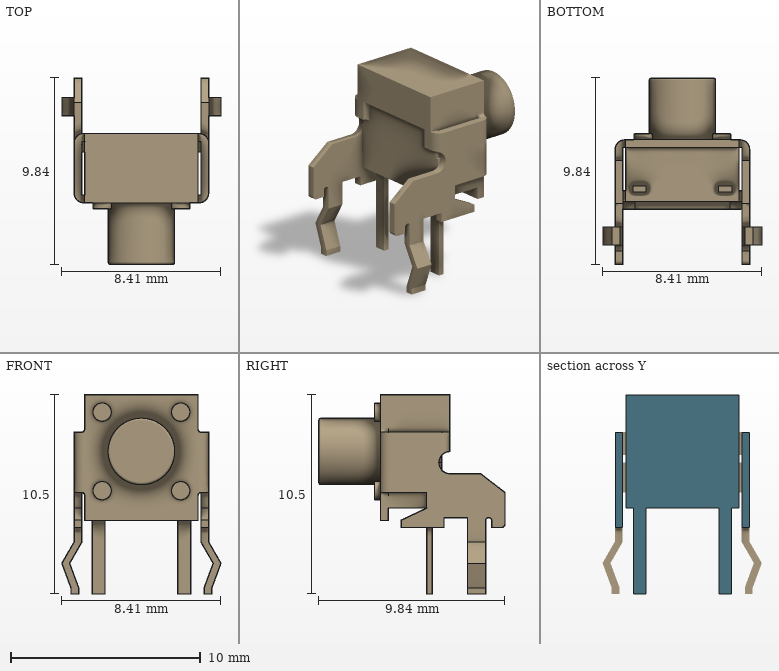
import cadquery as cq


height = 10.52
body_width = 6.0
body_depth = 3.67
cover_thickness = 0.42
cover_bottom = 3.87
block_bottom = 4.53

button_diameter = 3.51
button_length = 3.25
button_edge_radius = 0.13
axis_height = 7.52
rivet_diameter = 0.97
rivet_length = 0.32
rivet_edge_radius = 0.05
rivet_spacing = 4.15

pin_width = 0.69
pin_thickness = 0.3
pin_front = 2.44
pin_spacing = 4.51

sheet = cover_thickness
clip_outer = 3.56
clip_inner = clip_outer - sheet
bend_radius = 0.53
clip_top = 8.54
clip_bottom = 5.35
fold_back = 6.59
fold_reach = 0.63
root_fillet = 0.16
flange_front = body_depth - sheet

notch_radius = 0.58
notch_height = 6.93
arm_top = notch_height - notch_radius
arm_bottom = 4.02
foot_bottom = 3.5
shoulder_back = 5.29
hook_root_y = pin_front
hook_tip_y = 1.1
hook_tip_top = 3.9
foot_back = 3.37
leg_front = 4.6
leg_back = 5.57
slot_width = 0.3
slot_radius = 0.13
heel_radius = 0.2

leg_span = 8.41
leg_outer_elbow = leg_span / 2
leg_outer_tip = 3.72
leg_bend_height = 2.75
leg_elbow_height = 1.62
leg_tip_height = 0.33

ledge_front = 2.68


def box(x0, x1, y0, y1, z0, z1):
    return cq.Workplane("XY").box(x1 - x0, y1 - y0, z1 - z0, centered=False).translate((x0, y0, z0))


def make_housing():
    half = body_width / 2
    cover = box(-half, half, 0, cover_thickness, cover_bottom, height)
    block = box(-half, half, 0, flange_front, block_bottom, height)
    upper_back = box(-half, half, 0, body_depth, clip_top, height)
    ledges = box(-clip_inner, clip_inner, ledge_front, flange_front, clip_bottom, notch_height)
    return cover.union(block).union(upper_back).union(ledges)


def stud(diameter, length, edge_radius):
    """Round stud that stands on the front face and has a rounded rim."""
    return cq.Workplane("XZ").circle(diameter / 2).extrude(length).faces("<Y").edges().fillet(edge_radius)


def make_studs():
    studs = stud(button_diameter, button_length, button_edge_radius)
    rivet = stud(rivet_diameter, rivet_length, rivet_edge_radius)
    for x in (-rivet_spacing / 2, rivet_spacing / 2):
        for z in (-rivet_spacing / 2, rivet_spacing / 2):
            studs = studs.union(rivet.translate((x, 0, z)))
    return studs.translate((0, 0, axis_height))


def make_pin(x):
    return box(x - pin_width / 2, x + pin_width / 2, pin_front, pin_front + pin_thickness, 0, block_bottom)


def make_clip_wall():
    """Flat side wall with the rear arm, the hook and the stub of the leg."""
    slot_back = leg_back + slot_width
    bend_back = body_depth - bend_radius
    wall = (
        cq.Workplane("YZ", origin=(clip_inner, 0, 0))
        .moveTo(bend_radius, clip_top)
        .lineTo(bend_back, clip_top)
        .lineTo(bend_back, notch_height)
        .lineTo(body_depth, notch_height)
        .lineTo(body_depth, arm_top)
        .lineTo(shoulder_back, arm_top)
        .lineTo(fold_back, clip_bottom)
        .lineTo(fold_back, foot_bottom + heel_radius)
        .radiusArc((fold_back - heel_radius, foot_bottom), heel_radius)
        .lineTo(slot_back, foot_bottom)
        .lineTo(slot_back, arm_bottom - slot_radius)
        .radiusArc((slot_back - slot_radius, arm_bottom), -slot_radius)
        .lineTo(leg_back + slot_radius, arm_bottom)
        .radiusArc((leg_back, arm_bottom - slot_radius), -slot_radius)
        .lineTo(leg_back, foot_bottom)
        .lineTo(leg_front, foot_bottom)
        .lineTo(leg_front, arm_bottom)
        .lineTo(foot_back, arm_bottom)
        .lineTo(foot_back, foot_bottom)
        .lineTo(hook_tip_y, foot_bottom)
        .lineTo(hook_tip_y, hook_tip_top)
        .lineTo(hook_root_y, block_bottom)
        .lineTo(hook_root_y, clip_bottom)
        .lineTo(bend_radius, clip_bottom)
        .close()
    )
    return wall.extrude(sheet)


def make_corner(inner_x, bottom, top):
    """Sheet folded from the side wall across the front face, with a sharp inner corner."""
    corner = (
        cq.Workplane("XY", origin=(0, 0, bottom))
        .moveTo(inner_x, 0)
        .lineTo(clip_outer - bend_radius, 0)
        .radiusArc((clip_outer, bend_radius), -bend_radius)
        .lineTo(clip_inner, bend_radius)
        .lineTo(clip_inner, sheet)
        .lineTo(inner_x, sheet)
        .close()
    )
    return corner.extrude(top - bottom)


def make_front_fold():
    """Front fold, flared by concave fillets where it leaves the edge of the cover."""
    root = body_width / 2
    flare_end = root + root_fillet
    flare_bottom = clip_bottom - root_fillet
    flare_top = clip_top + root_fillet
    outline = (
        cq.Workplane("XZ")
        .moveTo(root, flare_bottom)
        .radiusArc((flare_end, clip_bottom), root_fillet)
        .lineTo(clip_outer, clip_bottom)
        .lineTo(clip_outer, clip_top)
        .lineTo(flare_end, clip_top)
        .radiusArc((root, flare_top), root_fillet)
        .close()
        .extrude(-bend_radius)
    )
    return make_corner(root, flare_bottom, flare_top).intersect(outline)


def make_leg():
    """Leg kinked outwards; its width along X equals the sheet thickness."""
    outer_edge = [
        (clip_outer, foot_bottom),
        (clip_outer, leg_bend_height),
        (leg_outer_elbow, leg_elbow_height),
        (leg_outer_tip, leg_tip_height),
        (leg_outer_tip, 0),
    ]
    inner_edge = [(x - sheet, z) for x, z in reversed(outer_edge)]
    profile = cq.Workplane("XZ", origin=(0, leg_front, 0)).polyline(outer_edge + inner_edge).close()
    return profile.extrude(leg_front - leg_back)


def make_clip():
    back_fold = make_corner(clip_inner - fold_reach, notch_height, clip_top)
    back_fold = back_fold.mirror("XZ").translate((0, body_depth, 0))
    notch = (
        cq.Workplane("YZ")
        .center(body_depth, notch_height)
        .circle(notch_radius)
        .extrude(clip_outer)
    )
    sheet_part = make_clip_wall().union(make_front_fold()).union(back_fold).cut(notch)
    return sheet_part.union(make_leg())


right_clip = make_clip()
result = make_housing().union(make_studs())
for side in (-1, 1):
    result = result.union(make_pin(side * pin_spacing / 2))
result = result.union(right_clip).union(right_clip.mirror("YZ"))